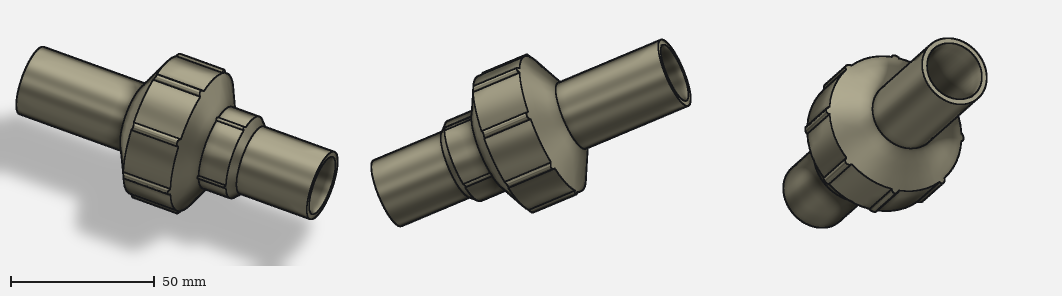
import cadquery as cq
import math

length = 112.0
pipe_radius = 25.0 / 2
bore_diameter = 21.2

nut_radius = 25.4
nut_rib_tip_radius = 53.0 / 2
nut_rib_radius = 1.5
nut_rib_count = 8
nut_start = 47.5
nut_end = 65.6
nut_cone_angle = 60.0

collar_radius = 15.1
collar_rib_tip_radius = 15.6
collar_rib_radius = 0.9
collar_rib_count = 4
collar_end = 82.1
collar_cone_length = 2.8

nut_slope = math.tan(math.radians(nut_cone_angle))
collar_slope = (collar_radius - pipe_radius) / collar_cone_length
cone_start = nut_start - (nut_radius - pipe_radius) / nut_slope
collar_start = nut_end + (nut_radius - collar_radius) / nut_slope
collar_cone_end = collar_end + collar_cone_length


def revolve_profile(points):
    """Revolve (x, radius) points about the X axis, closed along the axis."""
    closed = [(points[0][0], 0), *points, (points[-1][0], 0)]
    return cq.Workplane("XY").polyline(closed).close().revolve(360, (0, 0, 0), (1, 0, 0))


def round_bars(start, end, tip_radius, bar_radius, count):
    """Round bars along X, evenly spaced around the axis."""
    return (
        cq.Workplane("YZ", origin=(start, 0, 0))
        .polarArray(tip_radius - bar_radius, 0, 360, count)
        .circle(bar_radius)
        .extrude(end - start)
    )


body = revolve_profile([
    (0, pipe_radius),
    (cone_start, pipe_radius),
    (nut_start, nut_radius),
    (nut_end, nut_radius),
    (collar_start, collar_radius),
    (collar_end, collar_radius),
    (collar_cone_end, pipe_radius),
    (length, pipe_radius),
])

nut_rib_trim = (nut_rib_tip_radius - nut_radius) / nut_slope
nut_envelope = revolve_profile([
    (cone_start, pipe_radius),
    (nut_start + nut_rib_trim, nut_rib_tip_radius),
    (nut_end - nut_rib_trim, nut_rib_tip_radius),
    (collar_start, collar_radius),
])
nut_ribs = round_bars(
    nut_start, nut_end, nut_rib_tip_radius, nut_rib_radius, nut_rib_count
).intersect(nut_envelope)

collar_rib_trim = (collar_rib_tip_radius - collar_radius) / collar_slope
collar_envelope = revolve_profile([
    (nut_end, collar_rib_tip_radius),
    (collar_end - collar_rib_trim, collar_rib_tip_radius),
    (collar_cone_end, pipe_radius),
])
collar_ribs = round_bars(
    nut_end, collar_end, collar_rib_tip_radius, collar_rib_radius, collar_rib_count
).intersect(collar_envelope)

bore = cq.Workplane("YZ").circle(bore_diameter / 2).extrude(length)

result = body.union(nut_ribs).union(collar_ribs).cut(bore)